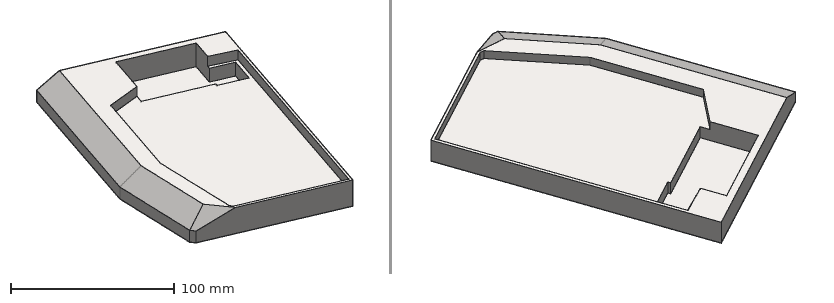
import cadquery as cq

length = 191.0
width = 127.0
height = 19.0

bend_x = 124.8
corner_start = (188.8, 18.3)
corner_end = (length, 21.5)

slope_base_z = 8.6
slope_inset = 15.3

rim = 2.0
tray_depth = 7.0
tray_right = length - rim
tray_back = width - rim
tray_front = 27.3
tray_left_front = 22.2
tray_left_back = 23.0
tray_front_corner_x = 50.2
tray_notch_x = 36.7
tray_corner_start = (187.5, 45.5)
tray_corner_end_y = 47.5

floor_thickness = 2.0
pocket_left = 5.0
pocket_step_x = 24.8
pocket_right = 43.2
pocket_back_right = 45.0
pocket_front = 51.0
pocket_right_step_y = 101.3
pocket_left_step_y = 105.0
pocket_back = 122.7

outline = [
    (0, 0),
    (bend_x, 0),
    corner_start,
    corner_end,
    (length, width),
    (0, width),
]

tray_outline = [
    (tray_front_corner_x, tray_front),
    (bend_x, tray_front),
    tray_corner_start,
    (tray_right, tray_corner_end_y),
    (tray_right, tray_back),
    (tray_left_back, tray_back),
    (tray_left_front, pocket_left_step_y),
    (tray_left_front, pocket_front),
    (tray_notch_x, pocket_front),
]

pocket_outline = [
    (pocket_left, pocket_front),
    (pocket_right, pocket_front),
    (pocket_right, pocket_right_step_y),
    (pocket_back_right, pocket_right_step_y),
    (pocket_back_right, pocket_back),
    (pocket_step_x, pocket_back),
    (pocket_step_x, pocket_left_step_y),
    (pocket_left, pocket_left_step_y),
]


def prism(points, bottom, top):
    """Extrude a closed outline between two heights."""
    return cq.Workplane("XY").workplane(offset=bottom).polyline(points).close().extrude(top - bottom)


def slope_cutter(start, end):
    """Wedge above the sloped face that rises inward from one bottom edge."""
    edge = cq.Vector(end[0] - start[0], end[1] - start[1], 0)
    inward = cq.Vector(0, 0, 1).cross(edge)
    plane = cq.Plane(origin=(*start, slope_base_z), xDir=inward, normal=edge)
    rise = height - slope_base_z
    profile = [(0, 0), (2 * slope_inset, 2 * rise), (-length, 2 * rise), (-length, 0)]
    section = cq.Workplane(plane).polyline(profile).close()
    return section.extrude(length, both=True)


result = prism(outline, 0, height)
for start, end in zip(outline[:3], outline[1:4]):
    result = result.cut(slope_cutter(start, end))
result = result.cut(prism(tray_outline, height - tray_depth, height))
result = result.cut(prism(pocket_outline, floor_thickness, height))